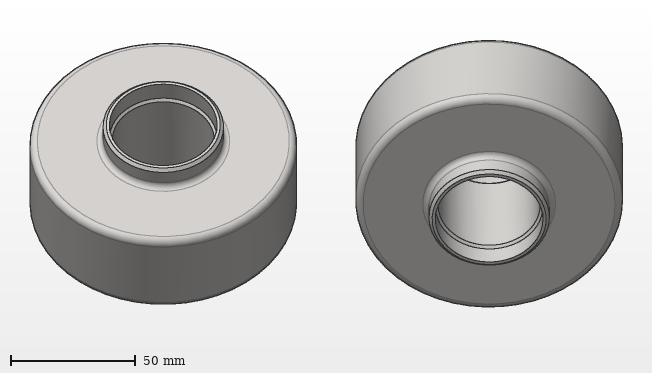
import cadquery as cq

wheel_diameter = 107.0
wheel_width = 40.0
rim_fillet = 3.0

hub_diameter = 48.3
hub_length = 60.0
hub_chamfer = 1.3
hub_root_fillet = 2.5

bore_diameter = 41.0
seat_diameter = 43.1
seat_depth = 8.6


def centred_cylinder(diameter, length):
    """Cylinder along Z, centred on the origin."""
    return (
        cq.Workplane("XY")
        .workplane(offset=-length / 2)
        .circle(diameter / 2)
        .extrude(length)
    )


def make_wheel():
    return centred_cylinder(wheel_diameter, wheel_width).edges("%CIRCLE").fillet(rim_fillet)


def make_hub():
    return centred_cylinder(hub_diameter, hub_length).edges("%CIRCLE").chamfer(hub_chamfer)


def make_root_fillet():
    """Concave ring between the upper wheel face and the hub."""
    hub_radius = hub_diameter / 2
    face_z = wheel_width / 2
    fillet_radius = hub_radius + hub_root_fillet
    fillet_top = face_z + hub_root_fillet
    return (
        cq.Workplane("XZ")
        .moveTo(hub_radius, face_z)
        .lineTo(fillet_radius, face_z)
        .radiusArc((hub_radius, fillet_top), hub_root_fillet)
        .close()
        .revolve(360, (0, 0, 0), (0, 1, 0))
    )


def make_seat():
    """Cutter for the upper bearing seat and the 45 degree cone down to the bore."""
    seat_radius = seat_diameter / 2
    bore_radius = bore_diameter / 2
    hub_top = hub_length / 2
    seat_bottom = hub_top - seat_depth
    cone_bottom = seat_bottom - (seat_radius - bore_radius)
    return (
        cq.Workplane("XZ")
        .moveTo(0, hub_top)
        .lineTo(seat_radius, hub_top)
        .lineTo(seat_radius, seat_bottom)
        .lineTo(bore_radius, cone_bottom)
        .lineTo(0, cone_bottom)
        .close()
        .revolve(360, (0, 0, 0), (0, 1, 0))
    )


root_fillet = make_root_fillet()
seat = make_seat()

result = make_wheel().union(make_hub())
result = result.union(root_fillet).union(root_fillet.mirror("XY"))
result = result.cut(centred_cylinder(bore_diameter, hub_length))
result = result.cut(seat).cut(seat.mirror("XY"))